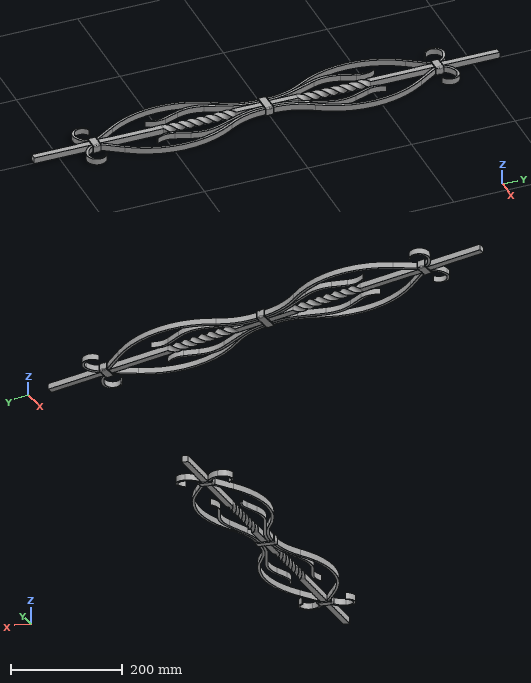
import cadquery as cq
import math


BAR_LENGTH = 900
BAR_SIZE = 13.0
TWIST_START = 60.0
TWIST_END = 200.0
TWIST_TURN = 720

STRAP_THICKNESS = 5.0
TIP_THICKNESS = 3.0
INNER_STRAP_X = BAR_SIZE / 2 + STRAP_THICKNESS / 2
OUTER_STRAP_X = INNER_STRAP_X + STRAP_THICKNESS

COLLAR_LENGTH = 15.0
COLLAR_WALL = 3.0
COLLAR_BULGE = 0.45
COLLAR_CORNER_RADIUS = 4.0
END_COLLAR_Y = 331.0

STRAIGHT_MIDDLE = COLLAR_LENGTH / 2
BELLY_FLARE_RADIUS = 140.0
BELLY_FLARE_TURN = 32
BELLY_RADIUS = 188.0
BELLY_TURN = 65.2
BELLY_CLOSING_RADIUS = 4.0
SCROLL_NECK_RADIUS = 4.0
SCROLL_NECK_TURN = 27.5
SCROLL_RISE_RADIUS = 31.5
SCROLL_RISE_TURN = 51
SCROLL_RADIUS = 17.0
SCROLL_TURN = 171
LEAF_FLARE_RADIUS = BELLY_FLARE_RADIUS + STRAP_THICKNESS
LEAF_FLARE_TURN = 19.5
LEAF_RISE = 52.0
LEAF_RADIUS = 79.0
LEAF_TURN = 39.2
LEAF_RETURN = 29.0
LEAF_TIP_RADIUS = 40.0
LEAF_TIP_TURN = 54.4


def along(pose, distance):
    """Pose (x, y, heading) after a straight step; heading is in degrees from +Y toward +X."""
    x, y, heading = pose
    angle = math.radians(heading)
    return x + distance * math.sin(angle), y + distance * math.cos(angle), heading


def around(pose, radius, turn):
    """Pose after an arc; a positive turn goes toward +X from a +Y heading."""
    x, y, heading = pose
    side = math.copysign(radius, turn)
    start = math.radians(heading)
    end = math.radians(heading + turn)
    x += side * (math.cos(start) - math.cos(end))
    y += side * (math.sin(end) - math.sin(start))
    return x, y, heading + turn


def beside(pose, offset):
    """Point at a distance to the right of a pose."""
    x, y, heading = pose
    angle = math.radians(heading)
    return x + offset * math.cos(angle), y - offset * math.sin(angle)


def step(pose, size, turn, part):
    """Pose after the given part of a (length, 0) straight or a (radius, turn) bend."""
    if turn:
        return around(pose, size, part * turn)
    return along(pose, part * size)


def edge_to(outline, turn, middle, end):
    """Outline continued by an arc through its middle point, or by a line where nothing turns."""
    if turn:
        return outline.threePointArc(middle, end)
    return outline.lineTo(*end)


def strap(start, steps):
    """Strap along a chain of (length, 0) straights and (radius, turn) bends, its last bend tapering."""
    half = STRAP_THICKNESS / 2
    tip_half = TIP_THICKNESS / 2
    last = len(steps) - 1

    pieces = []
    pose = start
    for index, (size, turn) in enumerate(steps):
        end_half = tip_half if index == last else half
        begin = pose
        middle = step(begin, size, turn, 0.5)
        pose = step(begin, size, turn, 1)
        pieces.append((turn, (begin, half), (middle, (half + end_half) / 2), (pose, end_half)))

    outline = cq.Workplane("XY").workplane(offset=-BAR_SIZE / 2).moveTo(*beside(start, half))
    for turn, _, (middle, middle_half), (end, end_half) in pieces:
        outline = edge_to(outline, turn, beside(middle, middle_half), beside(end, end_half))
    outline = outline.lineTo(*beside(pose, -tip_half))
    for turn, (begin, begin_half), (middle, middle_half), _ in reversed(pieces):
        outline = edge_to(outline, turn, beside(middle, -middle_half), beside(begin, -begin_half))
    return outline.close().extrude(BAR_SIZE)


def square_bar(start_y, end_y):
    """Plain stretch of the bar."""
    length = end_y - start_y
    return cq.Workplane("XY").box(BAR_SIZE, length, BAR_SIZE).translate((0, start_y + length / 2, 0))


def twisted_bar(start_y, end_y):
    """Stretch of the bar twisted as a right-handed screw."""
    section = cq.Workplane("XZ", origin=(0, end_y, 0)).rect(BAR_SIZE, BAR_SIZE)
    return section.twistExtrude(end_y - start_y, TWIST_TURN)


def build_bar():
    bar = square_bar(-TWIST_START, TWIST_START)
    bar = bar.union(twisted_bar(TWIST_START, TWIST_END))
    bar = bar.union(twisted_bar(-TWIST_END, -TWIST_START))
    bar = bar.union(square_bar(TWIST_END, BAR_LENGTH / 2))
    return bar.union(square_bar(-BAR_LENGTH / 2, -TWIST_END))


def bulged_prism(plane, half_width, depth):
    """Prism whose two long sides bow outward along Y, up to the given half width."""
    edge = half_width - COLLAR_BULGE
    end = COLLAR_LENGTH / 2
    if plane == "XY":
        side = [(edge, -end), (half_width, 0), (edge, end), (-edge, end), (-half_width, 0), (-edge, -end)]
    else:
        side = [(-end, edge), (0, half_width), (end, edge), (end, -edge), (0, -half_width), (-end, -edge)]
    return (
        cq.Workplane(plane)
        .moveTo(*side[0])
        .threePointArc(side[1], side[2])
        .lineTo(*side[3])
        .threePointArc(side[4], side[5])
        .close()
        .extrude(depth / 2, both=True)
    )


def collar(center_y, held_width):
    """Barrel-faced band around the bar and the straps beside it."""
    width = held_width + 2 * COLLAR_WALL
    height = BAR_SIZE + 2 * COLLAR_WALL
    band = cq.Workplane("XY").box(width, COLLAR_LENGTH, height).edges("|Y").fillet(COLLAR_CORNER_RADIUS)
    band = band.intersect(bulged_prism("XY", width / 2, height))
    band = band.intersect(bulged_prism("YZ", height / 2, width))
    band = band.cut(cq.Workplane("XY").box(held_width, COLLAR_LENGTH, BAR_SIZE))
    return band.translate((0, center_y, 0)).solids().val()


def build_belly_strap():
    """Strap on the +X side: belly, end collar and scroll, repeated on both sides of the middle."""
    closing_turn = BELLY_TURN - BELLY_FLARE_TURN
    start = (OUTER_STRAP_X, 0, 0)
    belly_end = along(start, STRAIGHT_MIDDLE)
    belly_end = around(belly_end, BELLY_FLARE_RADIUS, BELLY_FLARE_TURN)
    belly_end = around(belly_end, BELLY_RADIUS, -BELLY_TURN)

    slope = math.radians(closing_turn)
    bend_shift = BELLY_CLOSING_RADIUS * (1 - math.cos(slope))
    straight = (belly_end[0] - INNER_STRAP_X - bend_shift) / math.sin(slope)
    bar_contact = around(along(belly_end, straight), BELLY_CLOSING_RADIUS, closing_turn)
    collar_run = END_COLLAR_Y + COLLAR_LENGTH / 2 - bar_contact[1]

    half = strap(
        start,
        [
            (STRAIGHT_MIDDLE, 0),
            (BELLY_FLARE_RADIUS, BELLY_FLARE_TURN),
            (BELLY_RADIUS, -BELLY_TURN),
            (straight, 0),
            (BELLY_CLOSING_RADIUS, closing_turn),
            (collar_run, 0),
            (SCROLL_NECK_RADIUS, SCROLL_NECK_TURN),
            (SCROLL_RISE_RADIUS, SCROLL_RISE_TURN),
            (SCROLL_RADIUS, SCROLL_TURN),
        ],
    )
    return half.union(half.mirror("XZ"))


def build_leaf():
    """Leaf on the +X side, running toward +Y from the middle of the bar."""
    return strap(
        (INNER_STRAP_X, 0, 0),
        [
            (STRAIGHT_MIDDLE, 0),
            (LEAF_FLARE_RADIUS, LEAF_FLARE_TURN),
            (LEAF_RISE, 0),
            (LEAF_RADIUS, -LEAF_TURN),
            (LEAF_RETURN, 0),
            (LEAF_TIP_RADIUS, LEAF_TIP_TURN),
        ],
    )


bar = build_bar().solids()

belly_strap = build_belly_strap().solids()
belly_straps = [belly_strap.val(), belly_strap.val().mirror("YZ")]

first_leaf = build_leaf().val()
leaves = []
for leaf in (first_leaf, first_leaf.mirror("XZ")):
    leaves.append(leaf)
    leaves.append(leaf.mirror("YZ"))

middle_collar = collar(0, BAR_SIZE + 4 * STRAP_THICKNESS)
end_collars = [collar(y, BAR_SIZE + 2 * STRAP_THICKNESS) for y in (-END_COLLAR_Y, END_COLLAR_Y)]

result = cq.Compound.makeCompound([bar.val(), *belly_straps, *leaves, middle_collar, *end_collars])